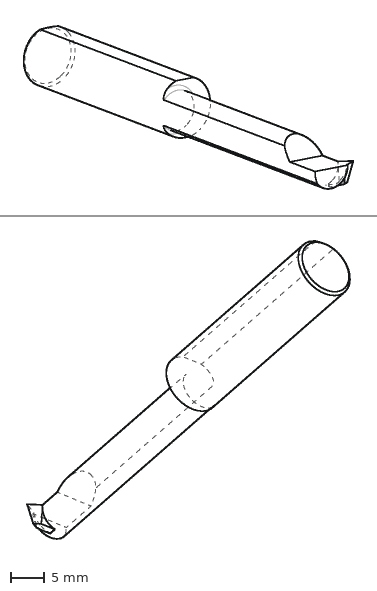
import cadquery as cq
import math

total_length = 76.2
shank_length = 35.65
shank_radius = 4.76
shank_flat_height = 4.46
end_chamfer_length = 0.4
end_chamfer_depth = 0.45

neck_radius = 3.2
neck_center_y = -1.8
neck_fillet = 0.6

head_length = 6.55
runout_angle = 45.0

tooth_tip_y = 3.4
tooth_tip_setback = 1.45
tooth_angle = 60.0
tooth_relief_angle = 10.0
neck_side_y = neck_center_y + neck_radius


def make_cylinder(radius, start_x, end_x):
    profile = cq.Workplane("YZ", origin=(start_x, 0, 0)).circle(radius)
    return profile.extrude(end_x - start_x)


def make_shank():
    shank = make_cylinder(shank_radius, 0, shank_length)
    shank = shank.faces("<X").chamfer(end_chamfer_length, end_chamfer_depth)
    above_flat = cq.Workplane("XY", origin=(0, 0, shank_flat_height)).rect(
        2 * shank_length, 2 * shank_radius
    ).extrude(shank_radius)
    return shank.cut(above_flat)


def make_neck():
    """Neck with a concave flare where it meets the shank."""
    flare_end = shank_length + neck_fillet
    flare_radius = neck_radius + neck_fillet
    arc_offset = neck_fillet * math.sqrt(0.5)
    profile = (
        cq.Workplane("XZ", origin=(0, neck_center_y, 0))
        .moveTo(shank_length, 0)
        .lineTo(shank_length, flare_radius)
        .threePointArc(
            (flare_end - arc_offset, flare_radius - arc_offset),
            (flare_end, neck_radius),
        )
        .lineTo(total_length, neck_radius)
        .lineTo(total_length, 0)
        .close()
    )
    neck = profile.revolve(360, (0, 0, 0), (1, 0, 0))
    return neck.intersect(make_cylinder(shank_radius, 0, total_length))


def make_head_clearance():
    """Space above the cutting face, with a sloping run-out into the neck."""
    head_start = total_length - head_length
    slope_length = shank_radius / math.tan(math.radians(runout_angle))
    return (
        cq.Workplane("XZ")
        .moveTo(head_start, 0)
        .lineTo(total_length, 0)
        .lineTo(total_length, shank_radius)
        .lineTo(head_start - slope_length, shank_radius)
        .close()
        .extrude(shank_radius, both=True)
    )


def make_tooth():
    """Triangular tooth rooted in the head, narrowing below the cutting face."""
    tip_x = total_length - tooth_tip_setback
    half_width = (tooth_tip_y - neck_side_y) * math.tan(math.radians(tooth_angle / 2))
    outline = [
        (tip_x - half_width, neck_center_y),
        (tip_x - half_width, neck_side_y),
        (tip_x, tooth_tip_y),
        (tip_x + half_width, neck_side_y),
        (tip_x + half_width, neck_center_y),
    ]
    return cq.Workplane("XY").polyline(outline).close().extrude(-neck_radius, taper=tooth_relief_angle)


neck = make_neck().cut(make_head_clearance())
result = make_shank().union(neck).union(make_tooth())